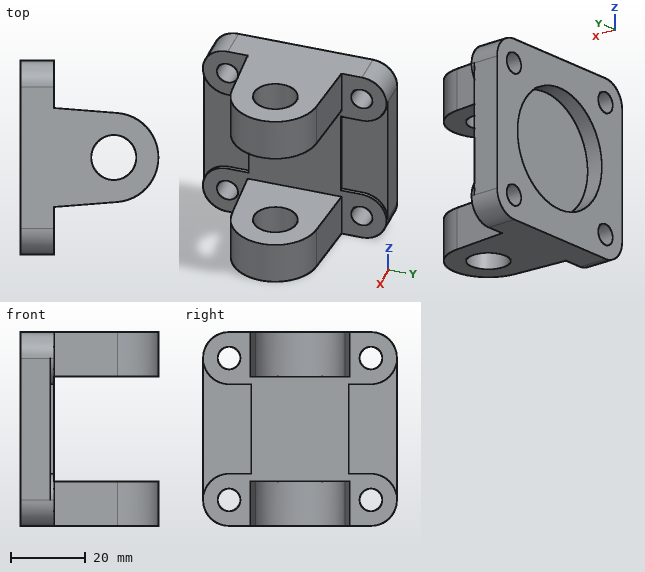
import math
import cadquery as cq

flange_side = 52.0
flange_thickness = 9.0
corner_radius = 7.0

bolt_hole_diameter = 6.0
bolt_offset = flange_side / 2 - corner_radius

recess_diameter = 35.0
recess_depth = 5.0

lug_thickness = 12.0
lug_base_width = 28.0
lug_end_radius = 12.0
pin_hole_diameter = 12.0
pin_x = 25.0

relief_depth = 1.0
pad_radius = corner_radius
relief_inner_y = 13.0


def make_flange():
    plate = cq.Workplane("XY").box(
        flange_thickness, flange_side, flange_side, centered=(False, True, True)
    )
    return plate.edges("|X").fillet(corner_radius)


def make_lug(bottom_z):
    """Tapered lug whose straight sides run tangent into its round end."""
    half_base = lug_base_width / 2
    base_to_pin = math.hypot(pin_x, half_base)
    taper = math.atan2(half_base, pin_x) - math.asin(lug_end_radius / base_to_pin)
    tangent_x = pin_x + lug_end_radius * math.sin(taper)
    tangent_y = lug_end_radius * math.cos(taper)
    return (
        cq.Workplane("XY", origin=(0, 0, bottom_z))
        .moveTo(0, half_base)
        .lineTo(tangent_x, tangent_y)
        .threePointArc((pin_x + lug_end_radius, 0), (tangent_x, -tangent_y))
        .lineTo(0, -half_base)
        .close()
        .extrude(lug_thickness)
    )


def make_side_relief():
    """Relief on the +Y side, with two rounded ends that follow the corner pads."""
    edge_y = flange_side / 2
    end_z = bolt_offset - pad_radius
    arc_offset = pad_radius * math.cos(math.radians(45))
    arc_y = bolt_offset + arc_offset
    arc_z = bolt_offset - arc_offset
    return (
        cq.Workplane("YZ", origin=(flange_thickness - relief_depth, 0, 0))
        .moveTo(relief_inner_y, -end_z)
        .lineTo(bolt_offset, -end_z)
        .threePointArc((arc_y, -arc_z), (edge_y, -bolt_offset))
        .lineTo(edge_y, bolt_offset)
        .threePointArc((arc_y, arc_z), (bolt_offset, end_z))
        .lineTo(relief_inner_y, end_z)
        .close()
        .extrude(relief_depth)
    )


def make_bolt_holes():
    return (
        cq.Workplane("YZ")
        .rect(2 * bolt_offset, 2 * bolt_offset, forConstruction=True)
        .vertices()
        .circle(bolt_hole_diameter / 2)
        .extrude(flange_thickness)
    )


def make_front_recess():
    return cq.Workplane("YZ").circle(recess_diameter / 2).extrude(recess_depth)


def make_pin_hole():
    """Bore along Z through both lugs."""
    return (
        cq.Workplane("XY", origin=(pin_x, 0, -flange_side / 2))
        .circle(pin_hole_diameter / 2)
        .extrude(flange_side)
    )


body = make_flange()
for lug_bottom_z in (-flange_side / 2, flange_side / 2 - lug_thickness):
    body = body.union(make_lug(lug_bottom_z))

side_relief = make_side_relief()
body = body.cut(side_relief).cut(side_relief.mirror("XZ"))

result = body.cut(make_bolt_holes()).cut(make_front_recess()).cut(make_pin_hole())